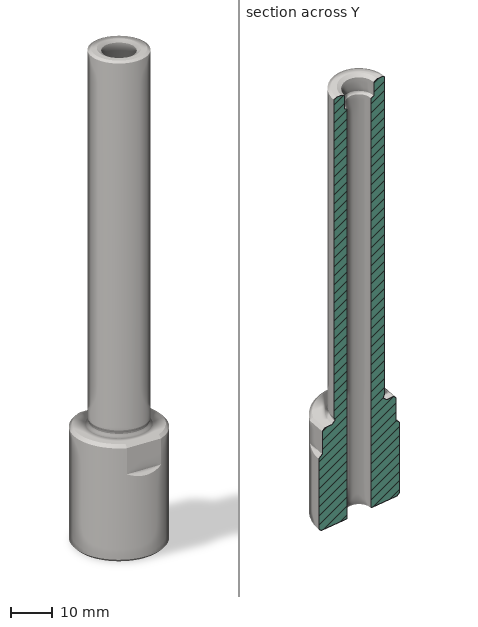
import cadquery as cq
import math

total_length = 131.0
body_diameter = 24.0
body_height = 31.2
body_chamfer = 0.8

shaft_diameter = 15.0
shaft_end_diameter = 13.5
shaft_end_chamfer_height = 0.4

neck_diameter = 14.5
neck_flare_diameter = 16.1
undercut_top = 33.0
neck_top = 32.4
neck_bottom = 32.0

across_flats = 21.9
flat_bottom = 23.5

bore_diameter = 7.0
socket_diameter = 8.5
socket_depth = 4.7
countersink_diameter = 10.6
bore_cone_angle = math.radians(30)

cut_margin = 1.3


def revolve_profile(points):
    """Revolve a (radius, height) outline about the Z axis."""
    return cq.Workplane("XZ").polyline(points).close().revolve(360, (0, 0), (0, 1))


def turned_blank():
    """Body, undercut neck and shaft as one turned solid."""
    body_r = body_diameter / 2
    shaft_r = shaft_diameter / 2
    neck_r = neck_diameter / 2
    return revolve_profile([
        (0, 0),
        (body_r - body_chamfer, 0),
        (body_r, body_chamfer),
        (body_r, body_height - body_chamfer),
        (body_r - body_chamfer, body_height),
        (neck_flare_diameter / 2, body_height),
        (neck_r, neck_bottom),
        (neck_r, neck_top),
        (shaft_r, undercut_top),
        (shaft_r, total_length - shaft_end_chamfer_height),
        (shaft_end_diameter / 2, total_length),
        (0, total_length),
    ])


def bore_cutter():
    """Through bore with a wider, countersunk socket at the shaft end."""
    bore_r = bore_diameter / 2
    socket_r = socket_diameter / 2
    countersink_r = countersink_diameter / 2
    cone_slope = math.tan(bore_cone_angle)
    socket_floor = total_length - socket_depth
    return revolve_profile([
        (0, 0),
        (bore_r, 0),
        (bore_r, socket_floor - (socket_r - bore_r) * cone_slope),
        (socket_r, socket_floor),
        (socket_r, total_length - (countersink_r - socket_r) * cone_slope),
        (countersink_r, total_length),
        (0, total_length),
    ])


def flat_cutter():
    """Cutter for the +X flat, with its top chamfer and sloped run-out."""
    flat_x = across_flats / 2
    outer_x = body_diameter / 2 + cut_margin
    profile = [
        (flat_x, flat_bottom),
        (flat_x, body_height - body_chamfer),
        (flat_x - body_chamfer, body_height),
        (outer_x, body_height),
        (outer_x, flat_bottom - (outer_x - flat_x)),
    ]
    return cq.Workplane("XZ").polyline(profile).close().extrude(body_diameter / 2, both=True)


plus_x_flat = flat_cutter()
minus_x_flat = plus_x_flat.mirror("YZ")
result = turned_blank().cut(bore_cutter()).cut(plus_x_flat).cut(minus_x_flat)